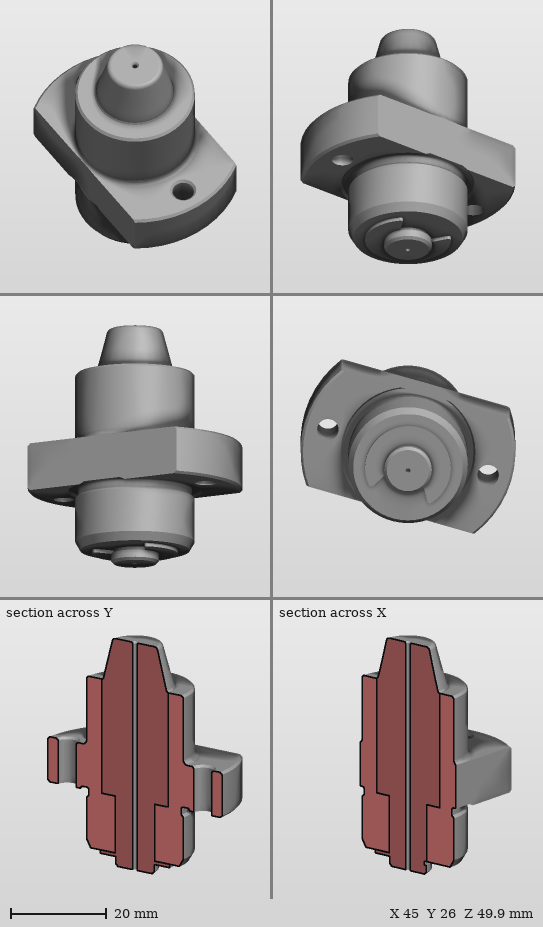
import cadquery as cq
import math

total_height = 49.9
flange_length = 45.0
flange_width = 26.0

housing_bottom = 2.85
flange_bottom = 15.4
flange_thickness = 10.0
housing_top = 40.4
flange_top = flange_bottom + flange_thickness

barrel_radius = 12.5
edge_chamfer = 0.5
root_fillet = 1.0
lead_in_height = 1.8
lead_in_depth = 1.05
neck_radius = 12.0
neck_height = 1.1
relief_depth = 0.55
relief_fillet = 0.45
relief_outer_radius = 14.1
relief_slope_run = 0.4

screw_spacing = 35.0
screw_hole_diameter = 4.5
screw_hole_chamfer = 0.5

head_radius = 8.5
head_chamfer = 0.3
head_bottom = flange_bottom
nose_half_angle = 15.0
nose_fillet = 1.0
shaft_radius = 5.0
tip_chamfer = 0.55
vent_diameter = 1.0
vent_chamfer = 0.35

clip_bottom = 2.1
clip_radius = 9.0
clip_root_radius = 4.5
clip_half_angle = 30.0
clip_corner_fillet = 0.55


def make_barrel():
    """Solid turned barrel with the neck under the flange."""
    neck_bottom = flange_bottom - neck_height
    return (
        cq.Workplane("XZ")
        .moveTo(0, housing_bottom)
        .lineTo(barrel_radius - lead_in_depth, housing_bottom)
        .lineTo(barrel_radius, housing_bottom + lead_in_height)
        .lineTo(barrel_radius, neck_bottom - (barrel_radius - neck_radius))
        .lineTo(neck_radius, neck_bottom)
        .lineTo(neck_radius, flange_top)
        .lineTo(barrel_radius, flange_top)
        .lineTo(barrel_radius, housing_top - edge_chamfer)
        .lineTo(barrel_radius - edge_chamfer, housing_top)
        .lineTo(0, housing_top)
        .close()
        .revolve(360, (0, 0, 0), (0, 1, 0))
    )


def make_root_fillet():
    """Ring that rounds the corner between the upper barrel and the flange."""
    outer = barrel_radius + root_fillet
    return (
        cq.Workplane("XZ")
        .moveTo(neck_radius, flange_bottom + flange_thickness / 2)
        .lineTo(outer, flange_bottom + flange_thickness / 2)
        .lineTo(outer, flange_top)
        .radiusArc((barrel_radius, flange_top + root_fillet), root_fillet)
        .lineTo(neck_radius, flange_top + root_fillet)
        .close()
        .revolve(360, (0, 0, 0), (0, 1, 0))
    )


def make_flange_relief():
    """Ring cut into the flange underside around the neck."""
    relief_top = flange_bottom + relief_depth
    return (
        cq.Workplane("XZ")
        .moveTo(neck_radius, flange_bottom)
        .lineTo(relief_outer_radius, flange_bottom)
        .lineTo(relief_outer_radius - relief_slope_run, relief_top)
        .lineTo(neck_radius + relief_fillet, relief_top)
        .radiusArc((neck_radius, relief_top - relief_fillet), -relief_fillet)
        .close()
        .revolve(360, (0, 0, 0), (0, 1, 0))
    )


def make_screw_holes():
    """Chamfered through holes on both sides of the barrel."""
    radius = screw_hole_diameter / 2
    positions = [(-screw_spacing / 2, 0), (screw_spacing / 2, 0)]
    holes = (
        cq.Workplane("XY", origin=(0, 0, flange_bottom))
        .pushPoints(positions)
        .circle(radius)
        .extrude(flange_thickness)
    )
    for x, y in positions:
        countersink = cq.Solid.makeCone(
            radius,
            radius + screw_hole_chamfer,
            screw_hole_chamfer,
            pnt=cq.Vector(x, y, flange_top - screw_hole_chamfer),
        )
        holes = holes.union(cq.Workplane(countersink))
    return holes


def make_housing():
    """Barrel with a two-flatted round flange and a stepped bore for the pin."""
    disc = (
        cq.Workplane("XY", origin=(0, 0, flange_bottom))
        .circle(flange_length / 2)
        .extrude(flange_thickness)
        .edges()
        .chamfer(edge_chamfer)
    )
    flats = cq.Workplane("XY").box(
        flange_length, flange_width, total_height, centered=(True, True, False)
    )
    flange = disc.union(make_root_fillet()).cut(make_flange_relief()).intersect(flats)
    head_bore = (
        cq.Workplane("XY", origin=(0, 0, head_bottom))
        .circle(head_radius)
        .extrude(housing_top - head_bottom)
    )
    shaft_bore = (
        cq.Workplane("XY", origin=(0, 0, housing_bottom))
        .circle(shaft_radius)
        .extrude(head_bottom - housing_bottom)
    )
    return make_barrel().union(flange).cut(make_screw_holes()).cut(head_bore).cut(shaft_bore)


def make_pin_blank():
    """Turned pin: tapered nose, guided head, thin shaft and a grooved tip."""
    nose_base_radius = head_radius - head_chamfer
    nose_height = total_height - housing_top - head_chamfer
    nose_top_radius = nose_base_radius - nose_height * math.tan(math.radians(nose_half_angle))
    blank = (
        cq.Workplane("XZ")
        .lineTo(shaft_radius - tip_chamfer, 0)
        .lineTo(shaft_radius, tip_chamfer)
        .lineTo(shaft_radius, clip_bottom)
        .lineTo(clip_root_radius, clip_bottom)
        .lineTo(clip_root_radius, housing_bottom)
        .lineTo(shaft_radius, housing_bottom)
        .lineTo(shaft_radius, head_bottom)
        .lineTo(head_radius, head_bottom)
        .lineTo(head_radius, housing_top)
        .lineTo(nose_base_radius, housing_top + head_chamfer)
        .lineTo(nose_top_radius, total_height)
        .lineTo(0, total_height)
        .close()
        .revolve(360, (0, 0, 0), (0, 1, 0))
    )
    return blank.faces(">Z").edges().fillet(nose_fillet)


def make_clip():
    """Flat disc with a V-shaped opening towards -Y and rounded opening corners."""
    thickness = housing_bottom - clip_bottom
    opening_length = 2 * clip_radius
    opening_half_width = opening_length * math.tan(math.radians(clip_half_angle))
    opening_end = clip_root_radius - opening_length
    plane = cq.Workplane("XY", origin=(0, 0, clip_bottom))
    opening = (
        plane.moveTo(0, clip_root_radius)
        .lineTo(opening_half_width, opening_end)
        .lineTo(-opening_half_width, opening_end)
        .close()
        .extrude(thickness)
    )
    return (
        plane.circle(clip_radius)
        .extrude(thickness)
        .cut(opening)
        .edges("|Z and <Y")
        .fillet(clip_corner_fillet)
    )


def make_pin():
    """Pin with its retaining clip and a vent hole along the axis."""
    vent = cq.Workplane("XY").circle(vent_diameter / 2).extrude(total_height)
    vent_countersink = cq.Solid.makeCone(
        vent_diameter / 2,
        vent_diameter / 2 + vent_chamfer,
        vent_chamfer,
        pnt=cq.Vector(0, 0, total_height - vent_chamfer),
    )
    return make_pin_blank().union(make_clip()).cut(vent).cut(cq.Workplane(vent_countersink))


housing = make_housing()
pin = make_pin()
result = cq.Compound.makeCompound([housing.solids().val(), pin.solids().val()])